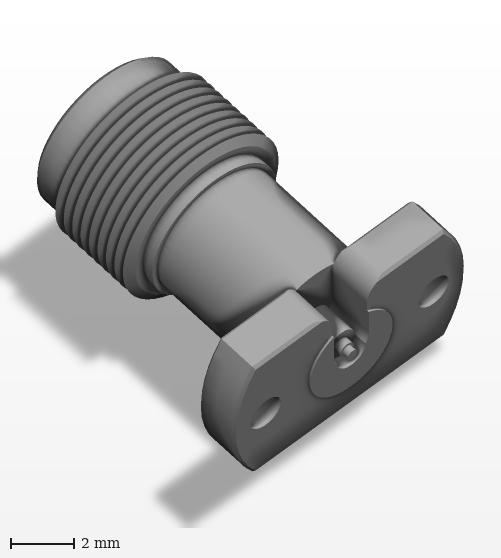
import cadquery as cq
import math

total_length = 11.9
nose_chamfer = 0.2
thread_start = 1.26
thread_end = 4.88
collar_end = 5.33
flange_start = 10.12
flange_end = 11.77
boss_end = 11.85
dielectric_end = 11.35
pin_step = 11.64

nose_radius = 2.95
crest_radius = 3.302
collar_radius = 2.63
barrel_radius = 2.43
boss_radius = 1.75
bore_radius = 0.6
pin_radius = 0.29
pin_tip_radius = 0.19

crest_count = 9
pitch = (thread_end - thread_start) / crest_count

flange_radius = 4.933
flange_half_height = 2.83
flange_chamfer = 0.11
hole_radius = 0.64
hole_offset = 3.56

slot_start = 10.08
slot_half_width = 0.74
slot_flare = 0.82
slot_bottom_height = math.sqrt(slot_half_width**2 - bore_radius**2)


def rod(radius, start, end, y=0.0):
    """Round bar parallel to X between two stations."""
    return cq.Workplane("YZ", origin=(start, y, 0)).circle(radius).extrude(end - start)


def make_body():
    """Nose, ridged thread, collar and barrel as one revolved profile."""
    profile = (
        cq.Workplane("XY")
        .lineTo(0, nose_radius - nose_chamfer)
        .lineTo(nose_chamfer, nose_radius)
        .lineTo(thread_start, nose_radius)
    )
    for ridge in range(crest_count):
        root = thread_start + ridge * pitch
        profile = profile.lineTo(root + pitch / 2, crest_radius).lineTo(root + pitch, nose_radius)
    profile = (
        profile.lineTo(thread_end, collar_radius)
        .lineTo(collar_end, collar_radius)
        .lineTo(collar_end, barrel_radius)
        .lineTo(flange_start, barrel_radius)
        .lineTo(flange_start, 0)
        .close()
    )
    return profile.revolve(360, (0, 0, 0), (1, 0, 0))


def make_flange():
    """Round-ended plate with chamfered rims, two mounting holes and a low rear boss."""
    length = flange_end - flange_start
    bar = cq.Workplane("XY").box(length, 2 * flange_radius, 2 * flange_half_height)
    bar = bar.translate((flange_start + length / 2, 0, 0))
    plate = rod(flange_radius, flange_start, flange_end).intersect(bar)
    plate = plate.faces("<X or >X").chamfer(flange_chamfer)
    for side in (-1, 1):
        plate = plate.cut(rod(hole_radius, flange_start, flange_end, side * hole_offset))
    return plate.union(rod(boss_radius, flange_end, boss_end))


def make_slot():
    """U-shaped slot with rounded, flared mouth, together with the bore on the axis."""
    mouth_half_width = slot_half_width + slot_flare
    flare_start = flange_half_height - slot_flare
    flare_mid = slot_flare * (1 - math.sqrt(0.5))
    flare_mid_y = slot_half_width + flare_mid
    flare_mid_z = flange_half_height - flare_mid
    slot = (
        cq.Workplane("YZ", origin=(slot_start, 0, 0))
        .moveTo(-mouth_half_width, flange_half_height)
        .threePointArc((-flare_mid_y, flare_mid_z), (-slot_half_width, flare_start))
        .lineTo(-slot_half_width, slot_bottom_height)
        .threePointArc(
            (0, slot_bottom_height - slot_half_width),
            (slot_half_width, slot_bottom_height),
        )
        .lineTo(slot_half_width, flare_start)
        .threePointArc((flare_mid_y, flare_mid_z), (mouth_half_width, flange_half_height))
        .close()
        .extrude(boss_end - slot_start)
    )
    return slot.union(rod(bore_radius, slot_start, boss_end))


def make_core():
    """Dielectric plug with the stepped contact pin."""
    plug = rod(bore_radius, slot_start, dielectric_end)
    pin = rod(pin_radius, dielectric_end, pin_step)
    tip = rod(pin_tip_radius, pin_step, total_length)
    return plug.union(pin).union(tip)


result = make_body().union(make_flange()).cut(make_slot()).union(make_core())